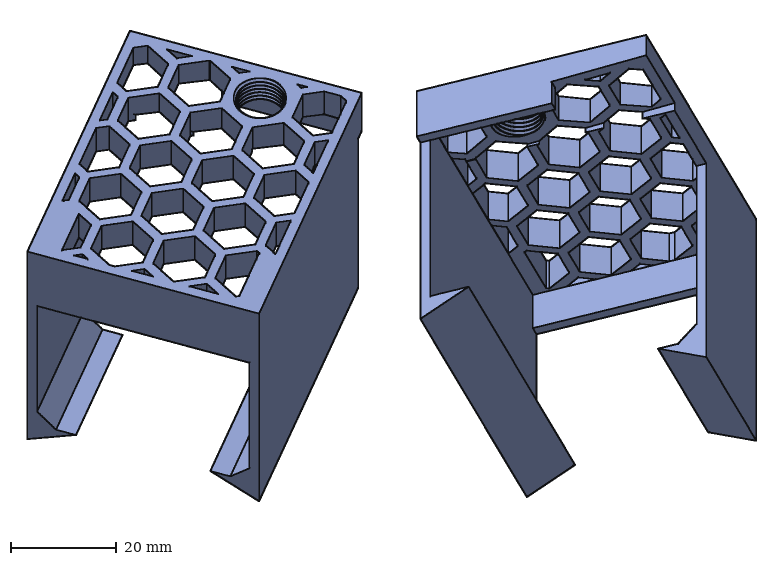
import cadquery as cq
import math

width = 46.45
depth = 58.3
height = 54.5

wall = 2.0
deck_thickness = 6.9
apron_drop = 15.05
flange_drop = 11.15
flange_start = 19.1

left_leg_length = 26.45
right_leg_length = depth - wall
hook_reach = 9.8
hook_height = 5.0
gusset = 3.8
right_gusset_length = 36.4

recess_front = 43.2
recess_depth = 5.0
recess_slope = 2.4

border = 2.05
cell_flats = 10.4
web = 1.9
column_pitch = cell_flats + web
row_pitch = column_pitch * math.sqrt(3) / 2
row_rise = 0.44
row_drift = 0.105
center_cell = (16.5, 29.05)
row_reach = 3
column_reach = 4

corner_length = 14.2
left_corner = 6.05
right_corner = 5.0

hole_center = (29.0, 50.55)
thread_minor = 9.45
thread_major = 10.55
thread_pitch = 1.0
thread_overlap = 0.05
groove_share = 0.96
thread_start = 180


def block(x0, x1, y0, y1, z0, z1):
    """Axis-aligned box given by its limits."""
    return cq.Workplane("XY").box(x1 - x0, y1 - y0, z1 - z0, centered=False).translate((x0, y0, z0))


def along_y(points, y0, y1):
    """Extrude an XZ outline from y0 to y1."""
    return cq.Workplane("XZ", origin=(0, y0, 0)).polyline(points).close().extrude(y0 - y1)


def leg(length, gusset_length):
    """Left-hand leg with a hook at its foot and a gusset in the hook corner."""
    profile = [
        (0, 0),
        (hook_reach, hook_height),
        (wall, hook_height),
        (wall, height),
        (0, height),
    ]
    gusset_profile = [
        (wall, hook_height),
        (wall + gusset, hook_height),
        (wall, hook_height + gusset),
    ]
    return along_y(profile, 0, length).union(along_y(gusset_profile, 0, gusset_length))


def rear_recess():
    """Sloping cut that thins the rear of the deck; the rear flange is left standing."""
    tilt = math.tan(math.radians(recess_slope))
    top = height - recess_depth
    bottom = height - deck_thickness
    run = (top - bottom) / tilt
    slope = along_y([(0, top), (run, bottom), (0, bottom)], recess_front, depth - wall)

    end_x = flange_start + (top - flange_start * tilt - bottom) * tilt
    stub_profile = [(0, top), (end_x, top - end_x * tilt), (flange_start, bottom), (0, bottom)]
    return slope.union(along_y(stub_profile, depth - wall, depth))


def hexagon_cells():
    """Hexagonal prisms on a slightly skewed lattice; the threaded hole takes one place."""
    centers = []
    for row in range(-row_reach, row_reach + 1):
        for column in range(-column_reach, column_reach + 1):
            step = column + (row % 2) / 2
            x = center_cell[0] + step * column_pitch + row * row_drift
            y = center_cell[1] + step * row_rise + row * row_pitch
            if math.dist((x, y), hole_center) > cell_flats / 2:
                centers.append((x, y))
    cell = cq.Workplane("XY").polygon(6, cell_flats / math.cos(math.pi / 6)).extrude(apron_drop)
    cell = cell.rotate((0, 0, 0), (0, 0, 1), 90).translate((0, 0, height - apron_drop)).val()
    cells = cq.Workplane("XY").newObject([cell.translate((x, y, 0)) for x, y in centers])
    return cells.combine()


def honeycomb():
    """Hexagonal cells trimmed to the solid rim and the solid front corners."""
    bottom = height - apron_drop
    window = block(border, width - border, border, depth - border, bottom, height)
    window = window.cut(block(0, left_corner, 0, corner_length, bottom, height))
    window = window.cut(block(width - right_corner, width, 0, corner_length, bottom, height))
    return window.intersect(hexagon_cells())


def threaded_hole():
    """Bore with a helical V-shaped thread groove that runs out through both faces."""
    minor = thread_minor / 2
    major = thread_major / 2
    bottom = height - deck_thickness - thread_pitch
    length = deck_thickness + 2 * thread_pitch
    root = minor - thread_overlap
    half_groove = groove_share * thread_pitch / 2
    groove_profile = [(root, -half_groove), (major, 0), (root, half_groove)]
    helix = cq.Wire.makeHelix(thread_pitch, length, minor)
    groove = cq.Workplane("XZ").polyline(groove_profile).close().sweep(helix, isFrenet=True)
    bore = cq.Workplane("XY").circle(minor).extrude(length)
    hole = bore.union(groove).rotate((0, 0, 0), (0, 0, 1), thread_start)
    return hole.translate((*hole_center, bottom))


deck = block(0, width, 0, depth, height - deck_thickness, height)
apron = block(0, width, 0, wall, height - apron_drop, height)
flange = block(flange_start, width, depth - wall, depth, height - flange_drop, height)
left_leg = leg(left_leg_length, left_leg_length)
right_leg = leg(right_leg_length, right_gusset_length).mirror("YZ").translate((width, 0, 0))

result = (
    deck.union(apron)
    .union(flange)
    .cut(rear_recess())
    .cut(honeycomb())
    .cut(threaded_hole())
    .union(left_leg)
    .union(right_leg)
)